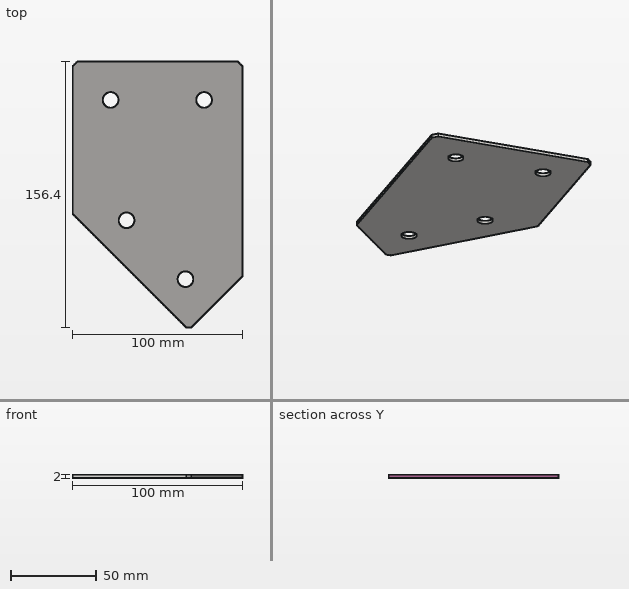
import cadquery as cq

width = 100.0
length = 156.4
thickness = 2.0

corner_chamfer = 3.0
tip_flat = 3.0
left_cut = 66.8
right_cut = width - left_cut - tip_flat

hole_diameter = 9.0
upper_hole_x = 22.4
upper_hole_y = 133.7
upper_hole_spacing = 54.9
lower_hole_x = 31.8
lower_hole_y = 63.0
lower_hole_step = 34.5

outline = [
    (left_cut, 0),
    (left_cut + tip_flat, 0),
    (width, right_cut),
    (width, length - corner_chamfer),
    (width - corner_chamfer, length),
    (corner_chamfer, length),
    (0, length - corner_chamfer),
    (0, left_cut),
]

hole_centers = [
    (upper_hole_x, upper_hole_y),
    (upper_hole_x + upper_hole_spacing, upper_hole_y),
    (lower_hole_x, lower_hole_y),
    (lower_hole_x + lower_hole_step, lower_hole_y - lower_hole_step),
]

plate = cq.Workplane("XY").polyline(outline).close().extrude(thickness)
holes = (
    cq.Workplane("XY")
    .pushPoints(hole_centers)
    .circle(hole_diameter / 2)
    .extrude(thickness)
)

result = plate.cut(holes)